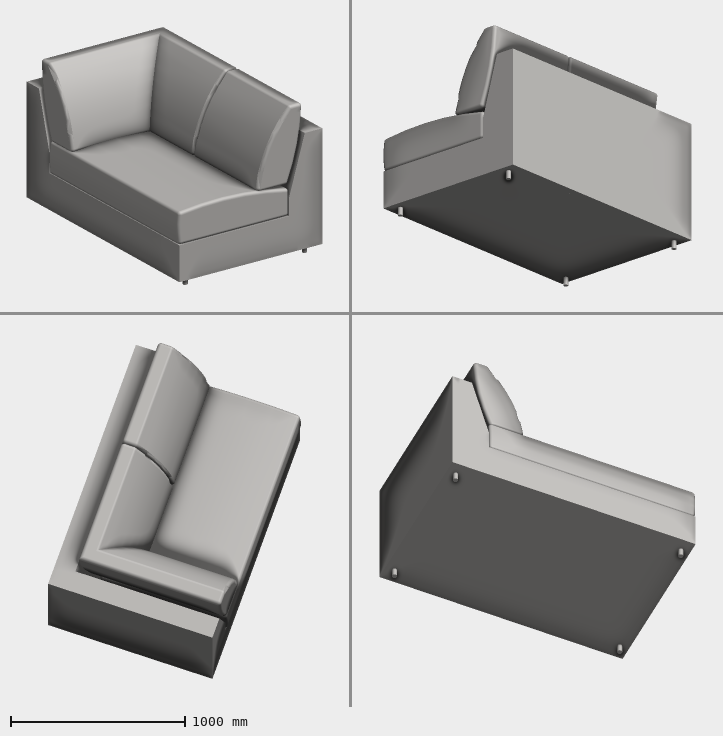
import cadquery as cq


total_length = 1540.0
corner_side = 1000.0

leg_height = 50.0
plinth_top = 110.0
base_top = 279.0
frame_top = 770.0
cushion_top = 961.0

wall_top_thickness = 123.0
wall_foot_thickness = 233.0
wall_knee_height = 395.0

seat_front_height = 480.0
seat_back_height = 447.0
seat_crown_height = 497.0
seat_bulge = 11.0
seat_depth = corner_side - wall_foot_thickness

cushion_top_rear = 139.0
cushion_top_front = 225.0
cushion_middle_rear = 166.0
cushion_middle_front = 388.0
cushion_middle_height = 724.0
cushion_foot_rear = 243.0
cushion_foot_front = 457.0
cushion_foot_height = 477.0
cushion_joint = 892.0

cushion_fillet = 20.0

leg_diameter = 30.0
leg_inset_x = 57.0
leg_inset_front = 80.0
leg_inset_back = 85.0


def wall_outline(sketch, place):
    """Wall section; place(offset, z) puts an offset from the outer face on the sketch plane."""
    return (
        sketch.moveTo(*place(0, base_top))
        .lineTo(*place(wall_foot_thickness, base_top))
        .lineTo(*place(wall_foot_thickness, wall_knee_height))
        .lineTo(*place(wall_top_thickness, frame_top))
        .lineTo(*place(0, frame_top))
        .close()
    )


def cushion_outline(sketch, place):
    """Lens-shaped back cushion section with a flat top and a flat foot."""
    return (
        sketch.moveTo(*place(cushion_foot_rear, cushion_foot_height))
        .lineTo(*place(cushion_foot_front, cushion_foot_height))
        .threePointArc(
            place(cushion_middle_front, cushion_middle_height), place(cushion_top_front, cushion_top)
        )
        .lineTo(*place(cushion_top_rear, cushion_top))
        .threePointArc(
            place(cushion_middle_rear, cushion_middle_height),
            place(cushion_foot_rear, cushion_foot_height),
        )
        .close()
    )


def along_back(outline, x_start, x_end):
    """Run a section along the back, from x_start to x_end."""
    sketch = cq.Workplane("YZ", origin=(x_start, 0, 0))
    return outline(sketch, lambda offset, z: (corner_side - offset, z)).extrude(x_end - x_start)


def along_arm(outline):
    """Run a section along the arm, over the full depth of the sofa."""
    sketch = cq.Workplane("XZ")
    return outline(sketch, lambda offset, z: (offset, z)).extrude(-corner_side)


def mitred(arm, back):
    """Trim an arm run and a back run to meet at a mitre on the diagonal of the corner."""
    arm_side = (
        cq.Workplane("XY")
        .polyline([(0, 0), (corner_side, 0), (0, corner_side)])
        .close()
        .extrude(cushion_top)
    )
    return [arm.intersect(arm_side), back.cut(arm_side)]


def base_layers(x_start, x_end):
    """Plinth and base panel, flush on all sides, below the seat."""
    layers = []
    for bottom, top in ((leg_height, plinth_top), (plinth_top, base_top)):
        layer = cq.Workplane("XY", origin=(x_start, 0, bottom)).box(
            x_end - x_start, corner_side, top - bottom, centered=False
        )
        layers.append(layer)
    return layers


def fuse_with_seams(parts):
    """Fuse parts into one solid, keeping the seam lines between flush faces."""
    fused = parts[0]
    for part in parts[1:]:
        fused = fused.union(part, clean=False)
    return fused


def make_corner_frame():
    walls = mitred(along_arm(wall_outline), along_back(wall_outline, 0, corner_side))
    return fuse_with_seams(base_layers(0, corner_side) + walls)


def make_straight_frame():
    wall = along_back(wall_outline, corner_side, total_length)
    return fuse_with_seams(base_layers(corner_side, total_length) + [wall])


def make_seat_block():
    """Seat cushion with sharp edges: crowned top and bowed front."""
    front_middle = (base_top + seat_front_height) / 2
    return (
        cq.Workplane("YZ", origin=(wall_foot_thickness, 0, 0))
        .moveTo(0, base_top)
        .lineTo(seat_depth, base_top)
        .lineTo(seat_depth, seat_back_height)
        .threePointArc((seat_depth / 2, seat_crown_height), (0, seat_front_height))
        .threePointArc((-seat_bulge, front_middle), (0, base_top))
        .close()
        .extrude(total_length - wall_foot_thickness)
    )


def soften(cushion):
    """Round every edge of a cushion."""
    return cushion.edges().fillet(cushion_fillet)


def make_seat_cushion():
    return soften(make_seat_block())


def make_corner_cushion():
    arm = soften(along_arm(cushion_outline))
    back = soften(along_back(cushion_outline, 0, cushion_joint))
    return fuse_with_seams(mitred(arm, back)).cut(make_seat_block(), clean=False)


def make_straight_cushion():
    cushion = soften(along_back(cushion_outline, cushion_joint, total_length))
    return cushion.cut(make_seat_block(), clean=False)


def make_legs():
    """Four round legs, one near each corner of the sofa."""
    legs = []
    for x in (leg_inset_x, total_length - leg_inset_x):
        for y in (leg_inset_front, corner_side - leg_inset_back):
            leg = cq.Workplane("XY", origin=(x, y, 0)).circle(leg_diameter / 2).extrude(leg_height)
            legs.append(leg)
    return legs


corner_frame = make_corner_frame()
straight_frame = make_straight_frame()
seat_cushion = make_seat_cushion()
corner_cushion = make_corner_cushion()
straight_cushion = make_straight_cushion()
legs = make_legs()

result = cq.Compound.makeCompound(
    [
        corner_frame.val(),
        straight_frame.val(),
        seat_cushion.val(),
        corner_cushion.val(),
        straight_cushion.val(),
        *[leg.val() for leg in legs],
    ]
)